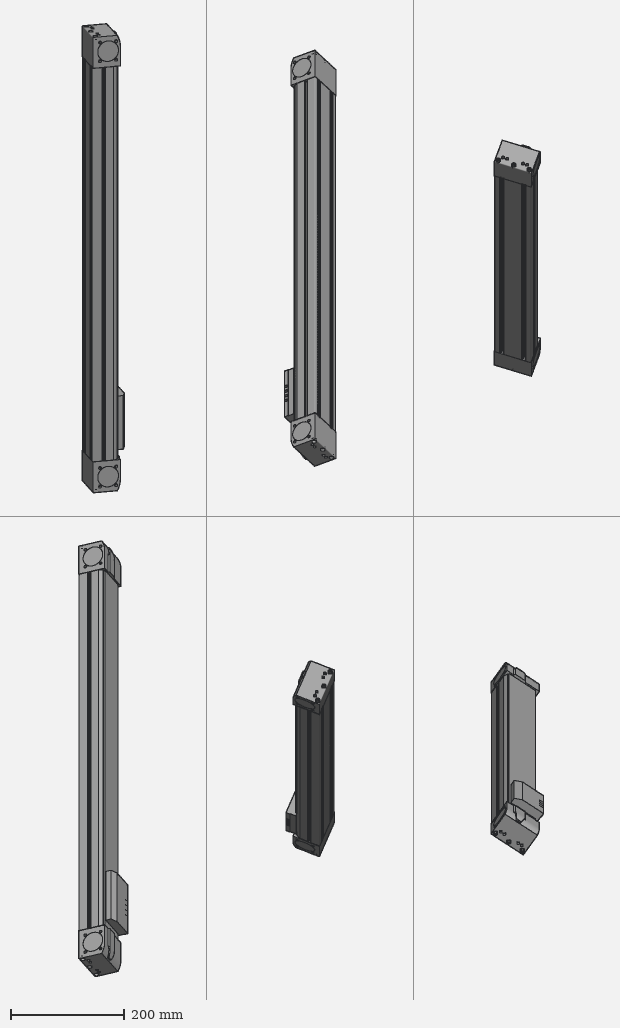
import cadquery as cq
import math

LENGTH = 846.0
WIDTH = 69.0
DEPTH = 64.0
HALF_WIDTH = WIDTH / 2

BLOCK_HEIGHT = 57.5
BLOCK_DEPTH = 51.0
BLOCK_TOP_DEPTH = 45.0
BLOCK_BACK_RADIUS = 42.0
BLOCK_FRONT_FILLET = 2.0

RIDGE_X = 8.0
RIDGE_HEIGHT = 2.5
RIDGE_WIDTH = 20.0
RIDGE_TIP_WIDTH = 10.0
RIDGE_TIP_FROM_END = 2.5
RIDGE_TAPER_LENGTH = 19.0

MOUNT_BORE_DIAMETER = 8.0
MOUNT_BORE_DEPTH = 5.0
MOUNT_HOLE_DIAMETER = 4.15
MOUNT_HOLE_DEPTH = 15.0
MOUNT_HOLE_Y = 6.0
MOUNT_HOLE_X = 29.0
PAIR_HOLE_DIAMETER = 5.0
PAIR_HOLE_DEPTH = 10.0
PAIR_HOLE_Y = 13.5
PAIR_CENTRE_X = 19.0
PAIR_PITCH = 8.0

COVER_DIAMETER = 38.0
COVER_THICKNESS = 5.0
COVER_Y = 28.0
COVER_FROM_END = 28.0
SCREW_HOLE_DIAMETER = 5.0
SCREW_HOLE_DEPTH = 8.5
SCREW_PITCH_Y = 30.0
SCREW_PITCH_Z = 35.0

PROFILE_HALF_WIDTH = 34.0
PROFILE_DEPTH = 46.0
PROFILE_FILLET = 1.3
SHOULDER_Y = 38.0
SHOULDER_RISE = 2.5
SHOULDER_STEP = 1.0
BEVEL_ANGLE = 30
SLOT_DEPTH = 7.0
SLOT_MOUTH_DEPTH = 2.0
FRONT_SLOT_X = 20.0
FRONT_SLOT_MOUTH = 8.0
FRONT_SLOT_WIDTH = 3.0
SIDE_SLOT_Y = 20.0
SIDE_SLOT_MOUTH = 6.0
SIDE_SLOT_WIDTH = 2.5

STRIP_WIDTH = 57.0
STRIP_THICKNESS = 2.5

CARRIAGE_RIGHT_X = 24.5
CARRIAGE_Z = 73.0
CARRIAGE_HEIGHT = 100.0
CARRIAGE_LEFT_STEP = 1.0
REAR_DEPTH = 8.0
REAR_CHAMFER_WIDTH = 13.5
REAR_CHAMFER_DEPTH = 6.0
SIDE_HOLE_COUNT = 4
SIDE_HOLE_PITCH = 10.0
SIDE_HOLE_DIAMETER = 5.0
SIDE_HOLE_DEPTH = 8.5

BLOCK_BASE_Z = LENGTH - BLOCK_HEIGHT
PROFILE_LENGTH = BLOCK_BASE_Z - BLOCK_HEIGHT
COVER_Z = LENGTH - COVER_FROM_END


def box(x_min, x_max, y_min, y_max, z_min, z_max):
    size = (x_max - x_min, y_max - y_min, z_max - z_min)
    return cq.Workplane("XY").box(*size, centered=False).translate((x_min, y_min, z_min))


def mirrored_to_lower_end(body):
    return body.mirror("XY", (0, 0, LENGTH / 2))


def cylinder_along_x(diameter, x_start, length, y, z):
    return cq.Workplane("YZ", origin=(x_start, y, z)).circle(diameter / 2).extrude(length)


def drill_end(block, diameter, depth, points):
    holes = cq.Workplane("XY", origin=(0, 0, LENGTH - depth)).pushPoints(points).circle(diameter / 2)
    return block.cut(holes.extrude(depth))


def make_back_arc_prism(offset):
    """Block shape with its back moved rearward by offset; the back curves in towards the outer end."""
    back_y = BLOCK_DEPTH + offset
    end_y = BLOCK_TOP_DEPTH + offset
    arc_drop = math.sqrt(BLOCK_BACK_RADIUS**2 - (BLOCK_BACK_RADIUS - back_y + end_y) ** 2)
    outline = (
        cq.Workplane("YZ", origin=(-HALF_WIDTH, 0, 0))
        .moveTo(0, BLOCK_BASE_Z)
        .lineTo(back_y, BLOCK_BASE_Z)
        .lineTo(back_y, LENGTH - arc_drop)
        .radiusArc((end_y, LENGTH), -BLOCK_BACK_RADIUS)
        .lineTo(0, LENGTH)
        .close()
    )
    return outline.extrude(WIDTH)


def make_ridge():
    """Low ridge with 45 degree flanks that narrows towards the outer end of the block."""
    crest_y = BLOCK_DEPTH + RIDGE_HEIGHT
    root_y = BLOCK_TOP_DEPTH
    crest_half = RIDGE_WIDTH / 2
    root_half = crest_half + crest_y - root_y
    section = [
        (RIDGE_X - root_half, root_y),
        (RIDGE_X + root_half, root_y),
        (RIDGE_X + crest_half, crest_y),
        (RIDGE_X - crest_half, crest_y),
    ]
    base = cq.Workplane("XY", origin=(0, 0, BLOCK_BASE_Z))
    flanked = base.polyline(section).close().extrude(BLOCK_HEIGHT)

    tip_z = LENGTH - RIDGE_TIP_FROM_END
    taper_z = tip_z - RIDGE_TAPER_LENGTH
    tip_half = RIDGE_TIP_WIDTH / 2
    plan = [
        (RIDGE_X - root_half, BLOCK_BASE_Z),
        (RIDGE_X + root_half, BLOCK_BASE_Z),
        (RIDGE_X + root_half, taper_z),
        (RIDGE_X + crest_half, taper_z),
        (RIDGE_X + tip_half, tip_z),
        (RIDGE_X - tip_half, tip_z),
        (RIDGE_X - crest_half, taper_z),
        (RIDGE_X - root_half, taper_z),
    ]
    tapered = cq.Workplane("XZ").polyline(plan).close().extrude(-DEPTH)
    return flanked.intersect(tapered).intersect(make_back_arc_prism(RIDGE_HEIGHT))


def make_upper_block():
    block = make_back_arc_prism(0)
    block = block.edges(">Z and <Y").fillet(BLOCK_FRONT_FILLET)
    block = block.union(make_ridge())

    mount_points = [(x, MOUNT_HOLE_Y) for x in (-MOUNT_HOLE_X, 0, MOUNT_HOLE_X)]
    block = drill_end(block, MOUNT_HOLE_DIAMETER, MOUNT_HOLE_DEPTH, mount_points)
    block = drill_end(block, MOUNT_BORE_DIAMETER, MOUNT_BORE_DEPTH, mount_points)
    pair_points = [
        (side * PAIR_CENTRE_X + offset, PAIR_HOLE_Y)
        for side in (-1, 1)
        for offset in (-PAIR_PITCH / 2, PAIR_PITCH / 2)
    ]
    block = drill_end(block, PAIR_HOLE_DIAMETER, PAIR_HOLE_DEPTH, pair_points)

    for side in (-1, 1):
        block = block.cut(make_upper_cover(side))
        for y in (COVER_Y - SCREW_PITCH_Y / 2, COVER_Y + SCREW_PITCH_Y / 2):
            for z in (COVER_Z - SCREW_PITCH_Z / 2, COVER_Z + SCREW_PITCH_Z / 2):
                depth = -side * SCREW_HOLE_DEPTH
                block = block.cut(cylinder_along_x(SCREW_HOLE_DIAMETER, side * HALF_WIDTH, depth, y, z))
    return block


def make_upper_cover(side):
    """Bearing cover set flush into one side face of the upper block."""
    return cylinder_along_x(COVER_DIAMETER, side * HALF_WIDTH, -side * COVER_THICKNESS, COVER_Y, COVER_Z)


def make_profile():
    bevel_start_y = SHOULDER_Y + SHOULDER_RISE
    shoulder_x = PROFILE_HALF_WIDTH - SHOULDER_STEP
    bevel_end_x = shoulder_x - (PROFILE_DEPTH - bevel_start_y) * math.tan(math.radians(BEVEL_ANGLE))
    right_half = [
        (PROFILE_HALF_WIDTH, 0),
        (PROFILE_HALF_WIDTH, SHOULDER_Y),
        (shoulder_x, bevel_start_y),
        (bevel_end_x, PROFILE_DEPTH),
    ]
    left_half = [(-x, y) for x, y in reversed(right_half)]
    outline = cq.Workplane("XY", origin=(0, 0, BLOCK_HEIGHT)).polyline(right_half + left_half).close()
    profile = outline.extrude(PROFILE_LENGTH).edges("|Z and <Y").fillet(PROFILE_FILLET)
    for side in (-1, 1):
        profile = cut_front_slot(profile, side * FRONT_SLOT_X)
        profile = cut_side_slot(profile, side)
    return profile


def cut_front_slot(profile, slot_x):
    """Stepped slot along the front face: a wide shallow mouth with a narrower groove in it."""
    for width, depth in ((FRONT_SLOT_MOUTH, SLOT_MOUTH_DEPTH), (FRONT_SLOT_WIDTH, SLOT_DEPTH)):
        x_min = slot_x - width / 2
        profile = profile.cut(box(x_min, x_min + width, 0, depth, BLOCK_HEIGHT, BLOCK_BASE_Z))
    return profile


def cut_side_slot(profile, side):
    """Stepped slot along one side face."""
    for width, depth in ((SIDE_SLOT_MOUTH, SLOT_MOUTH_DEPTH), (SIDE_SLOT_WIDTH, SLOT_DEPTH)):
        x_min, x_max = sorted((side * PROFILE_HALF_WIDTH, side * (PROFILE_HALF_WIDTH - depth)))
        y_min = SIDE_SLOT_Y - width / 2
        profile = profile.cut(box(x_min, x_max, y_min, y_min + width, BLOCK_HEIGHT, BLOCK_BASE_Z))
    return profile


def make_cover_strip():
    back_y = PROFILE_DEPTH + STRIP_THICKNESS
    return box(-STRIP_WIDTH / 2, STRIP_WIDTH / 2, PROFILE_DEPTH, back_y, BLOCK_HEIGHT, BLOCK_BASE_Z)


def make_carriage(cover_strip):
    left_x = -HALF_WIDTH
    step_x = left_x + CARRIAGE_LEFT_STEP
    step_y = DEPTH - REAR_DEPTH
    outline = [
        (step_x, PROFILE_DEPTH),
        (CARRIAGE_RIGHT_X, PROFILE_DEPTH),
        (CARRIAGE_RIGHT_X, DEPTH - REAR_CHAMFER_DEPTH),
        (CARRIAGE_RIGHT_X - REAR_CHAMFER_WIDTH, DEPTH),
        (left_x, DEPTH),
        (left_x, step_y),
        (step_x, step_y),
    ]
    base = cq.Workplane("XY", origin=(0, 0, CARRIAGE_Z))
    carriage = base.polyline(outline).close().extrude(CARRIAGE_HEIGHT).cut(cover_strip)

    middle_z = CARRIAGE_Z + CARRIAGE_HEIGHT / 2
    for i in range(SIDE_HOLE_COUNT):
        z = middle_z + (i - (SIDE_HOLE_COUNT - 1) / 2) * SIDE_HOLE_PITCH
        y = DEPTH - REAR_DEPTH / 2
        carriage = carriage.cut(cylinder_along_x(SIDE_HOLE_DIAMETER, left_x, SIDE_HOLE_DEPTH, y, z))
    return carriage


upper_block = make_upper_block()
upper_covers = [make_upper_cover(side) for side in (-1, 1)]
blocks = [upper_block, mirrored_to_lower_end(upper_block)]
covers = upper_covers + [mirrored_to_lower_end(cover) for cover in upper_covers]
cover_strip = make_cover_strip()
bodies = [make_profile(), cover_strip, make_carriage(cover_strip), *blocks, *covers]

result = cq.Compound.makeCompound([body.val() for body in bodies])